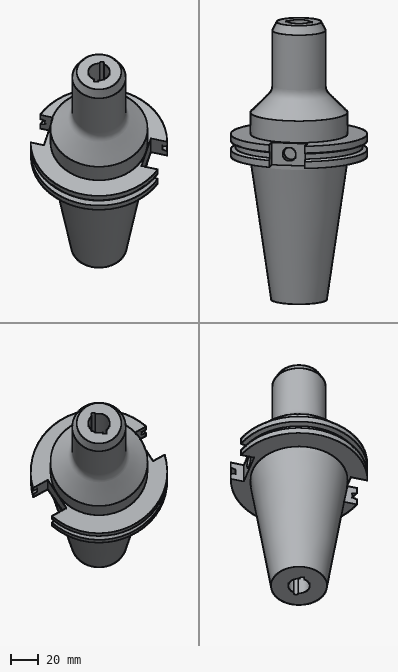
import cadquery as cq
import math

total_height = 203.2
cone_top = 101.2
flange_bottom = 104.9
flange_top = 121.1
shoulder_bottom = 137.0
tip_chamfer_height = 6.3

body_radius = 35.0
flange_radius = 49.2
neck_radius = 19.3
tip_radius = 16.0
taper_slope = 7 / 48
small_end_radius = body_radius - cone_top * taper_slope

shoulder_fillet = 9.5
fillet_rise = shoulder_fillet * math.sin(math.radians(45))
fillet_outer_radius = neck_radius + shoulder_fillet - fillet_rise
fillet_bottom = shoulder_bottom + body_radius - fillet_outer_radius
fillet_top = fillet_bottom + fillet_rise
fillet_mid_radius = neck_radius + shoulder_fillet * (1 - math.cos(math.radians(22.5)))
fillet_mid_height = fillet_top - shoulder_fillet * math.sin(math.radians(22.5))

flange_middle = (flange_bottom + flange_top) / 2
groove_floor_radius = 45.7
groove_mouth = 6.3
groove_floor_width = 3.9

slot_width = 26.0
left_slot_floor = 37.5
right_slot_floor = 35.2
dimple_radius = 4.9
dimple_depth = 6.0

bore_radius = 7.7
coolant_groove_radius = 1.6
coolant_groove_offset = 8.0


def make_body():
    """Taper, flange, shoulder and neck as one revolved outline."""
    return (
        cq.Workplane("XZ")
        .lineTo(small_end_radius, 0)
        .lineTo(body_radius, cone_top)
        .lineTo(body_radius, flange_bottom)
        .lineTo(flange_radius, flange_bottom)
        .lineTo(flange_radius, flange_middle - groove_mouth / 2)
        .lineTo(groove_floor_radius, flange_middle - groove_floor_width / 2)
        .lineTo(groove_floor_radius, flange_middle + groove_floor_width / 2)
        .lineTo(flange_radius, flange_middle + groove_mouth / 2)
        .lineTo(flange_radius, flange_top)
        .lineTo(body_radius, flange_top)
        .lineTo(body_radius, shoulder_bottom)
        .lineTo(fillet_outer_radius, fillet_bottom)
        .threePointArc((fillet_mid_radius, fillet_mid_height), (neck_radius, fillet_top))
        .lineTo(neck_radius, total_height - tip_chamfer_height)
        .lineTo(tip_radius, total_height)
        .lineTo(0, total_height)
        .close()
        .revolve(360, (0, 0, 0), (0, 1, 0))
    )


def make_slot(side, floor_distance):
    """Drive slot cutter reaching from its floor past the rim; side is -1 or +1."""
    return cq.Workplane("XY").box(
        flange_radius, slot_width, flange_top - flange_bottom
    ).translate((side * (floor_distance + flange_radius / 2), 0, flange_middle))


def make_dimple():
    """Blind round hole in the floor of the -X slot."""
    return (
        cq.Workplane("YZ", origin=(-left_slot_floor, 0, flange_middle))
        .circle(dimple_radius)
        .extrude(dimple_depth)
    )


def make_bore():
    """Full-length bore with a coolant groove on the +Y and -Y sides."""
    bore = cq.Workplane("XY").circle(bore_radius).extrude(total_height)
    grooves = (
        cq.Workplane("XY")
        .pushPoints([(0, coolant_groove_offset), (0, -coolant_groove_offset)])
        .circle(coolant_groove_radius)
        .extrude(total_height)
    )
    return bore.union(grooves)


result = (
    make_body()
    .cut(make_slot(-1, left_slot_floor))
    .cut(make_slot(1, right_slot_floor))
    .cut(make_dimple())
    .cut(make_bore())
)